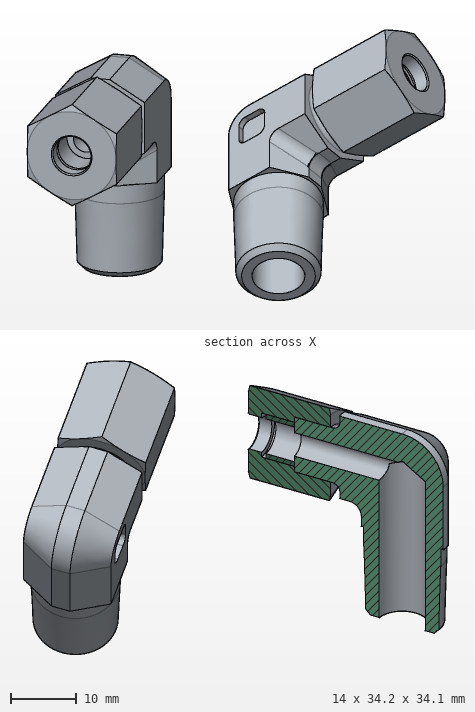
import cadquery as cq
import math


across_flats = 14.0
half_flats = across_flats / 2
half_side = half_flats * math.tan(math.radians(30))
half_corners = 2 * half_side

nut_front = 27.0
overall_length = 34.22
block_half_height = overall_length - nut_front
crown_half_width = (half_corners - block_half_height) * math.tan(math.radians(60))
arm_length = 11.0
inner_fillet = 2.0
mitre_tolerance = 0.005
flow_diameter = 4.0
thread_bore_diameter = 8.0
drill_tip_angle = 118

recess_size = 5.05
recess_corner = 1.25
recess_depth = 1.0
recess_shift = 0.5

collar_diameter = 13.62
collar_length = 3.0
thread_end_diameter = 12.97
thread_chamfer = 0.9
thread_bottom = 26.0

neck_diameter = 9.7
neck_cove = 1.15

nut_length = 14.5
nut_back = nut_front - nut_length
nut_chamfer_height = 0.27
tube_diameter = 6.0
tube_depth = 2.4
mouth_chamfer = 0.2

ring_diameter = 7.6
ring_gap = 0.72
ring_length = 5.0
lip_back = nut_front - tube_depth
ring_front = lip_back - ring_gap
neck_end = ring_front - ring_length


def cylinder_y(diameter, start, end):
    """Cylinder on the nut axis between two distances towards -Y."""
    return cq.Workplane("XZ").workplane(offset=start).circle(diameter / 2).extrude(end - start)


def arm_outline(plane):
    """Hexagon with its upper and lower corners cut flat."""
    w, s, c, h = half_flats, half_side, crown_half_width, block_half_height
    points = [(w, -s), (w, s), (c, h), (-c, h), (-w, s), (-w, -s), (-c, -h), (c, -h)]
    return cq.Workplane(plane).polyline(points).close()


def make_block():
    """Two arms joined by a quarter turn of the same outline about the X axis."""
    horizontal_arm = arm_outline("XZ").extrude(arm_length)
    vertical_arm = arm_outline("XY").extrude(-arm_length)
    w, s, c, h = half_flats, half_side, crown_half_width, block_half_height
    bend = (
        cq.Workplane("XZ")
        .polyline([(-w, 0), (w, 0), (w, s), (c, h), (-c, h), (-w, s)])
        .close()
        .revolve(90, (0, 0, 0), (-1, 0, 0))
    )
    block = horizontal_arm.union(vertical_arm).union(bend)
    mitre_middle = (s + h) / 2
    reach = h - s
    corner = cq.selectors.BoxSelector(
        (-w, -mitre_middle - reach, -mitre_middle - reach),
        (w, -mitre_middle + reach, -mitre_middle + reach),
    )
    mitre_edges = block.edges(corner).filter(
        lambda edge: abs(edge.Center().y - edge.Center().z) < mitre_tolerance
    )
    return block.newObject(mitre_edges.vals()).fillet(inner_fillet)


def make_thread_end():
    tip_radius = thread_end_diameter / 2
    collar_radius = collar_diameter / 2
    collar_end = arm_length + collar_length
    return (
        cq.Workplane("XZ")
        .moveTo(0, -arm_length)
        .lineTo(collar_radius, -arm_length)
        .lineTo(collar_radius, -collar_end)
        .lineTo(tip_radius, -thread_bottom + thread_chamfer)
        .lineTo(tip_radius - thread_chamfer, -thread_bottom)
        .lineTo(0, -thread_bottom)
        .close()
        .revolve(360, (0, 0, 0), (0, 1, 0))
    )


def make_neck():
    """Neck with a concave cove where it leaves the block."""
    radius = neck_diameter / 2
    cove_end = arm_length + neck_cove
    mid = neck_cove * (1 - math.sqrt(0.5))
    return (
        cq.Workplane("XY")
        .moveTo(0, -arm_length)
        .lineTo(radius + neck_cove, -arm_length)
        .threePointArc((radius + mid, -arm_length - mid), (radius, -cove_end))
        .lineTo(radius, -neck_end)
        .lineTo(0, -neck_end)
        .close()
        .revolve(360, (0, 0, 0), (0, 1, 0))
    )


def make_thread_bore():
    """Vertical bore with a conical drill tip starting at the nut axis."""
    radius = thread_bore_diameter / 2
    tip_height = radius / math.tan(math.radians(drill_tip_angle / 2))
    bore = cq.Workplane("XY").circle(radius).extrude(-thread_bottom)
    drill_tip = cq.Workplane(cq.Solid.makeCone(radius, 0, tip_height))
    return bore.union(drill_tip)


def make_flow_bore():
    """Nut-side bore; its seam is turned off the circle where the drill tip starts."""
    return cylinder_y(flow_diameter, 0, neck_end).rotate((0, 0, 0), (0, 1, 0), 90)


def make_logo_recess():
    return (
        cq.Workplane("YZ", origin=(-half_flats, -recess_shift, -recess_shift))
        .rect(recess_size, recess_size)
        .extrude(recess_depth)
        .edges("|X")
        .fillet(recess_corner)
    )


def make_elbow():
    solid = make_block().union(make_thread_end()).union(make_neck())
    return solid.cut(make_thread_bore()).cut(make_flow_bore()).cut(make_logo_recess())


def make_nut():
    hexagon = (
        cq.Workplane("XZ")
        .workplane(offset=nut_back)
        .polygon(6, 2 * half_corners)
        .extrude(nut_length)
        .rotate((0, 0, 0), (0, 1, 0), 30)
    )
    corner_trim = (
        cq.Workplane("XY")
        .moveTo(0, -nut_back)
        .lineTo(half_flats, -nut_back)
        .lineTo(half_corners, -nut_back - nut_chamfer_height)
        .lineTo(half_corners, -nut_front + nut_chamfer_height)
        .lineTo(half_flats, -nut_front)
        .lineTo(0, -nut_front)
        .close()
        .revolve(360, (0, 0, 0), (0, 1, 0))
    )
    mouth = (
        cq.Workplane("XZ")
        .workplane(offset=nut_front - mouth_chamfer)
        .circle(tube_diameter / 2)
        .workplane(offset=mouth_chamfer)
        .circle(tube_diameter / 2 + mouth_chamfer)
        .loft()
    )
    tube_hole = cylinder_y(tube_diameter, lip_back, nut_front)
    ring_pocket = cylinder_y(ring_diameter, neck_end, lip_back)
    neck_socket = cylinder_y(neck_diameter, nut_back, neck_end)
    nut = hexagon.intersect(corner_trim)
    return nut.cut(tube_hole).cut(mouth).cut(ring_pocket).cut(neck_socket)


def make_sealing_ring():
    outer = cylinder_y(ring_diameter, neck_end, ring_front)
    return outer.cut(cylinder_y(tube_diameter, neck_end, ring_front))


elbow = make_elbow()
nut = make_nut()
sealing_ring = make_sealing_ring()

result = cq.Compound.makeCompound([elbow.val(), nut.val(), sealing_ring.val()])